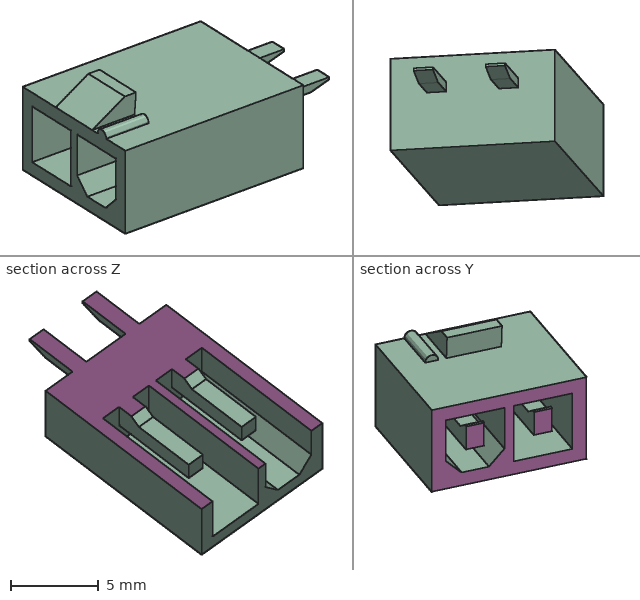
import cadquery as cq

OVERALL_LENGTH = 16.3
BODY_WIDTH = 9.6
BODY_LENGTH = 12.8
OVERALL_HEIGHT = 6.8
BODY_HEIGHT = 5.4

PITCH = 4.2
CAVITY_SIZE = 3.62
CAVITY_DEPTH = 8.96
CAVITY_TOP_WALL = 0.9
KEY_CHAMFER = 0.96

PIN_SIZE = 1.12
PIN_TIP_Y = 3.26
PIN_TOP_DROP = 1.97
RAMP_START_Y = 7.34
RAMP_LENGTH = 0.62
TAIL_TOP_DROP = 1.56
TAIL_THICKNESS = 0.55
TAIL_TAPER_LENGTH = 1.34
TAIL_TIP_THICKNESS = 0.15

LATCH_WIDTH = 3.4
LATCH_RAMP_LENGTH = 2.35
LATCH_TOP_LENGTH = 0.8
LATCH_UNDERCUT = 0.1

RIB_RADIUS = 0.4
RIB_LENGTH = 3.05
RIB_X = 2.6

CONTACT_XS = (-PITCH / 2, PITCH / 2)
KEYED_X = CONTACT_XS[1]
CAVITY_TOP_Z = BODY_HEIGHT - CAVITY_TOP_WALL
CAVITY_BOTTOM_Z = CAVITY_TOP_Z - CAVITY_SIZE


def box_between(x_center, width, y_start, y_end, z_bottom, z_top):
    """Box centred on x_center, spanning the given Y and Z ranges."""
    return (
        cq.Workplane("XY")
        .box(width, y_end - y_start, z_top - z_bottom, centered=(True, False, False))
        .translate((x_center, y_start, z_bottom))
    )


def side_prism(profile, x_center, width):
    """Extrude a closed (Y, Z) profile symmetrically about x_center."""
    return (
        cq.Workplane("YZ", origin=(x_center, 0, 0))
        .polyline(profile)
        .close()
        .extrude(width / 2, both=True)
    )


def make_cavity(x_center):
    """Square cavity open at the mating face; the keyed one loses its lower corners."""
    cavity = box_between(x_center, CAVITY_SIZE, 0, CAVITY_DEPTH, CAVITY_BOTTOM_Z, CAVITY_TOP_Z)
    if x_center == KEYED_X:
        cavity = cavity.faces("<Z").edges("|Y").chamfer(KEY_CHAMFER)
    return cavity


def make_contact(x_center):
    """Pin, raised shank and tapered tail as one side profile."""
    pin_top = BODY_HEIGHT - PIN_TOP_DROP
    pin_bottom = pin_top - PIN_SIZE
    tail_top = BODY_HEIGHT - TAIL_TOP_DROP
    tail_bottom = tail_top - TAIL_THICKNESS
    shank_end_y = (CAVITY_DEPTH + BODY_LENGTH) / 2
    profile = [
        (PIN_TIP_Y, pin_bottom),
        (PIN_TIP_Y, pin_top),
        (RAMP_START_Y, pin_top),
        (RAMP_START_Y + RAMP_LENGTH, tail_top),
        (OVERALL_LENGTH, tail_top),
        (OVERALL_LENGTH, tail_top - TAIL_TIP_THICKNESS),
        (OVERALL_LENGTH - TAIL_TAPER_LENGTH, tail_bottom),
        (shank_end_y, tail_bottom),
        (shank_end_y, pin_bottom),
    ]
    return side_prism(profile, x_center, PIN_SIZE)


def make_latch():
    """Wedge rising from the mating face, with a slightly undercut rear face."""
    latch_end_y = LATCH_RAMP_LENGTH + LATCH_TOP_LENGTH
    profile = [
        (0, BODY_HEIGHT),
        (LATCH_RAMP_LENGTH, OVERALL_HEIGHT),
        (latch_end_y, OVERALL_HEIGHT),
        (latch_end_y - LATCH_UNDERCUT, BODY_HEIGHT),
    ]
    return side_prism(profile, 0, LATCH_WIDTH)


def make_rib():
    """Round bar centred on the top face, so that its upper half stands proud."""
    bar = cq.Workplane("XZ", origin=(RIB_X, 0, BODY_HEIGHT)).circle(RIB_RADIUS).extrude(-RIB_LENGTH)
    upper_half = box_between(
        RIB_X, 2 * RIB_RADIUS, 0, RIB_LENGTH, BODY_HEIGHT, BODY_HEIGHT + RIB_RADIUS
    )
    return bar.intersect(upper_half)


housing = box_between(0, BODY_WIDTH, 0, BODY_LENGTH, 0, BODY_HEIGHT)
housing = housing.union(make_latch()).union(make_rib())

for contact_x in CONTACT_XS:
    housing = housing.cut(make_cavity(contact_x)).union(make_contact(contact_x))

result = housing